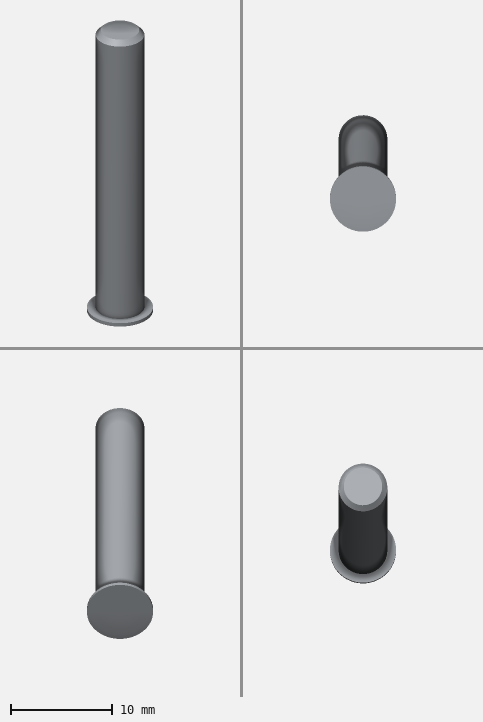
import cadquery as cq

total_length = 31.75
shank_diameter = 4.8
flange_diameter = 6.5
flange_thickness = 0.38
tip_chamfer = 0.5

flange = cq.Workplane("XY").circle(flange_diameter / 2).extrude(flange_thickness)

shank = (
    cq.Workplane("XY")
    .circle(shank_diameter / 2)
    .extrude(total_length)
    .faces(">Z")
    .chamfer(tip_chamfer)
)

result = flange.union(shank)